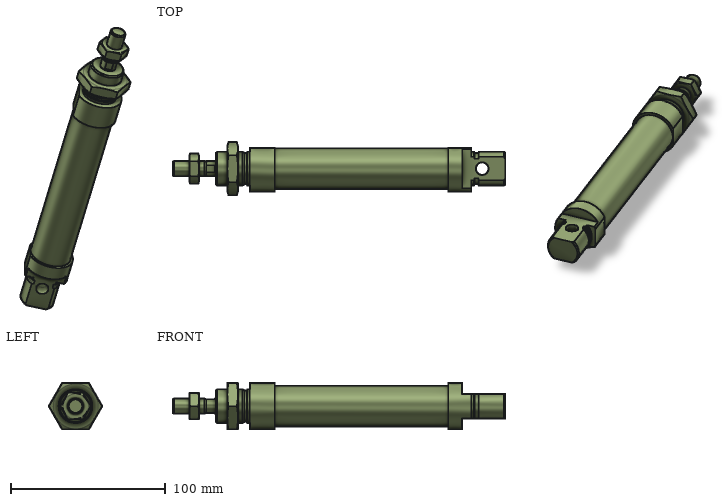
import cadquery as cq
import math


thread_end = 21.8
front_face = 28.0
front_shoulder = 50.0
barrel_start = 66.0
barrel_end = 178.0
clevis_start = 187.0
rear_shoulder = 193.0
clevis_hole_x = 200.0
rear_end = 215.0

rod_diameter = 10.0
rod_root_diameter = 8.65
rod_chamfer_length = 1.0
rod_relief_length = 1.4
rod_flat_width = 9.0
rod_flat_end = 27.1

barrel_diameter = 26.5
cap_diameter = 30.0
port_flat = 13.5
mount_diameter = 22.0
mount_chamfer_diameter = 20.38
mount_chamfer_length = 1.0
clevis_thickness = 16.0
clevis_hole_diameter = 8.0

groove_diameter = 20.3
groove_length = 3.2
groove_land = 1.7
groove_ramp = 1.3
groove_step = 0.4

rod_nut_width = 17.0
rod_nut_start = 10.8
rod_nut_length = 6.3
mount_nut_width = 30.0
mount_nut_start = 35.3
mount_nut_length = 7.0
nut_face_ratio = 0.97
nut_chamfer_angle = math.radians(17)

rod_radius = rod_diameter / 2
rod_root_radius = rod_root_diameter / 2
cap_radius = cap_diameter / 2
mount_radius = mount_diameter / 2
mount_chamfer_radius = mount_chamfer_diameter / 2
groove_radius = groove_diameter / 2
groove_depth = mount_radius - groove_radius


def cylinder(diameter, start, end):
    """Solid cylinder on the X axis."""
    return cq.Workplane("YZ", origin=(start, 0, 0)).circle(diameter / 2).extrude(end - start)


def turned(outline):
    """Solid of revolution about the X axis from a closed half outline."""
    return outline.close().revolve(360, (0, 0, 0), (1, 0, 0))


def hex_nut(width, bore, start, length):
    """Hexagon nut with flats facing +Z and -Z, its corners chamfered on both faces."""
    corner_radius = width / math.sqrt(3)
    face_radius = nut_face_ratio * width / 2
    chamfer = (corner_radius - face_radius) * math.tan(nut_chamfer_angle)
    end = start + length
    hexagon = cq.Workplane("YZ", origin=(start, 0, 0)).polygon(6, 2 * corner_radius).extrude(length)
    envelope = turned(cq.Workplane("XY").polyline([
        (start, 0),
        (start, face_radius),
        (start + chamfer, corner_radius),
        (end - chamfer, corner_radius),
        (end, face_radius),
        (end, 0),
    ]))
    return hexagon.intersect(envelope).cut(cylinder(bore, start, end))


def piston_rod():
    """Threaded rod end with a conical relief and two wrench flats behind it."""
    relief_start = thread_end - rod_relief_length
    rod = turned(cq.Workplane("XY").polyline([
        (0, 0),
        (0, rod_root_radius),
        (rod_chamfer_length, rod_radius),
        (relief_start, rod_radius),
        (thread_end, rod_root_radius),
        (thread_end, rod_radius),
        (front_face, rod_radius),
        (front_face, 0),
    ]))
    flat_height = rod_flat_width / 2
    ramp = rod_radius - flat_height
    flat_cut = cq.Workplane("XZ").polyline([
        (thread_end, flat_height),
        (rod_flat_end, flat_height),
        (rod_flat_end + ramp, rod_radius),
        (thread_end, rod_radius),
    ]).close().extrude(rod_radius, both=True)
    return rod.cut(flat_cut).cut(flat_cut.mirror("XY"))


def port_flat_cut(start, end):
    """Block that cuts the flat on the +Y side of a cap's collar."""
    depth = cap_radius - port_flat
    block = cq.Workplane("XY").box(end - start, depth, cap_diameter, centered=(False, False, True))
    return block.translate((start, port_flat, 0))


def front_cap():
    """Collar with a chamfered mounting thread in front and a relief groove between them."""
    groove_end = front_shoulder - groove_land
    groove_start = groove_end - groove_length
    cap = turned(cq.Workplane("XY").polyline([
        (front_face, 0),
        (front_face, mount_chamfer_radius),
        (front_face + mount_chamfer_length, mount_radius),
        (groove_start, mount_radius),
        (groove_start + groove_ramp, groove_radius),
        (groove_end - groove_step, groove_radius),
        (groove_end, mount_radius),
        (front_shoulder, mount_radius),
        (front_shoulder, cap_radius),
        (barrel_start, cap_radius),
        (barrel_start, 0),
    ]))
    return cap.cut(port_flat_cut(front_shoulder, barrel_start))


def rear_cap():
    """Collar and mounting thread flattened into a clevis tongue with a cross hole."""
    groove_start = rear_shoulder + groove_land
    groove_end = groove_start + groove_length
    cap = turned(
        cq.Workplane("XY")
        .moveTo(barrel_end, 0)
        .lineTo(barrel_end, cap_radius)
        .lineTo(rear_shoulder, cap_radius)
        .lineTo(rear_shoulder, mount_radius)
        .lineTo(groove_start, mount_radius)
        .lineTo(groove_start + groove_step, groove_radius)
        .lineTo(groove_end - groove_depth, groove_radius)
        .radiusArc((groove_end, mount_radius), -groove_depth)
        .lineTo(rear_end - mount_chamfer_length, mount_radius)
        .lineTo(rear_end, mount_chamfer_radius)
        .lineTo(rear_end, 0)
    )
    cap = cap.cut(port_flat_cut(barrel_end, rear_shoulder))

    tongue_length = rear_end - clevis_start
    waste_height = cap_radius - clevis_thickness / 2
    waste = cq.Workplane("XY").box(tongue_length, cap_diameter, waste_height, centered=(False, True, False))
    waste = waste.translate((clevis_start, 0, clevis_thickness / 2))
    cap = cap.cut(waste).cut(waste.mirror("XY"))

    hole = cq.Workplane("XY").center(clevis_hole_x, 0).circle(clevis_hole_diameter / 2)
    return cap.cut(hole.extrude(clevis_thickness / 2, both=True))


rod = piston_rod()
rod_nut = hex_nut(rod_nut_width, rod_diameter, rod_nut_start, rod_nut_length)
head = front_cap()
mount_nut = hex_nut(mount_nut_width, mount_diameter, mount_nut_start, mount_nut_length)
barrel = cylinder(barrel_diameter, barrel_start, barrel_end)
tail = rear_cap()

result = cq.Compound.makeCompound([
    rod.val(),
    rod_nut.val(),
    head.val(),
    mount_nut.val(),
    barrel.val(),
    tail.val(),
])